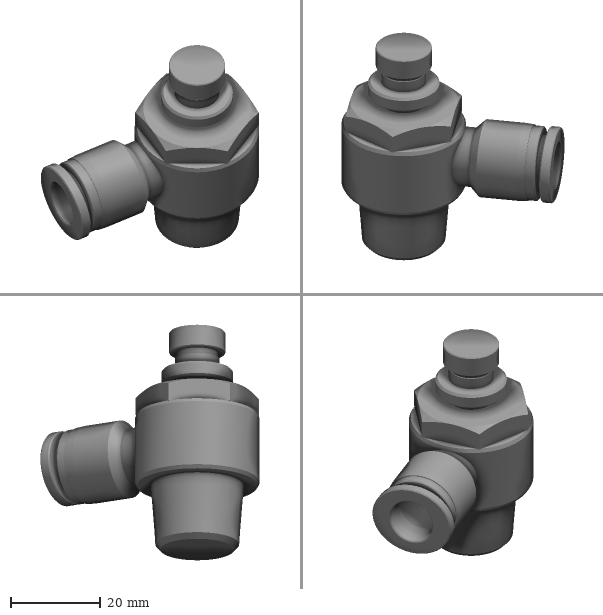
import cadquery as cq
import math

overall_height = 50.9
plug_chamfer_top = 1.2
body_bottom = 14.95
body_top = 31.4
hex_top = 36.5
collar_bottom = 38.5
collar_top = 42.0
stem_top = 44.65
cap_bottom = 46.0

plug_tip_radius = 8.3
plug_lower_radius = 9.4
plug_upper_radius = 10.5
body_radius = 14.0
body_chamfer_height = 0.8
body_chamfer_width = 0.45
stem_radius = 5.05
stem_neck_radius = 4.7
collar_radius = 8.05
collar_chamfer = 0.5
cap_radius = 6.3
cap_chamfer = 0.2

hex_across_flats = 24.0
hex_corner_radius = hex_across_flats / math.sqrt(3)
hex_corner_drop = 1.1

port_height = 23.8
port_offset = -0.15
port_neck_end = 16.05
port_cone_end = 18.15
port_barrel_end = 27.15
port_taper_end = 29.1
port_lip_end = 31.4
port_groove_end = 32.7
port_face = 35.0
port_neck_radius = 6.7
port_barrel_radius = 8.8
port_taper_radius = 8.65
port_lip_radius = 8.45
port_lip_chamfer = 0.2
port_groove_radius = 6.5

ring_half_width = 9.5
ring_half_height = 8.3
ring_chamfer = 0.25
bore_radius = 5.15
bore_chamfer = 0.25
sleeve_depth = 6.1
tube_radius = 5.3
tube_depth = 16.3


def cylinder(radius, bottom, top):
    return cq.Workplane("XY").workplane(offset=bottom).circle(radius).extrude(top - bottom)


def chamfered_disc(radius, bottom, top, chamfer):
    return cylinder(radius, bottom, top).edges().chamfer(chamfer)


def make_plug():
    """Tapered plug with a chamfered tip."""
    return (
        cq.Workplane("XZ")
        .moveTo(0, 0)
        .lineTo(plug_tip_radius, 0)
        .lineTo(plug_lower_radius, plug_chamfer_top)
        .lineTo(plug_upper_radius, body_bottom)
        .lineTo(0, body_bottom)
        .close()
        .revolve(360, (0, 0), (0, 1))
    )


def make_body():
    """Round body with steep chamfers at both rims."""
    rim_radius = body_radius - body_chamfer_width
    return (
        cq.Workplane("XZ")
        .moveTo(0, body_bottom)
        .lineTo(rim_radius, body_bottom)
        .lineTo(body_radius, body_bottom + body_chamfer_height)
        .lineTo(body_radius, body_top - body_chamfer_height)
        .lineTo(rim_radius, body_top)
        .lineTo(0, body_top)
        .close()
        .revolve(360, (0, 0), (0, 1))
    )


def make_hex():
    """Hexagon with its top corners turned off by a cone tangent to the flats."""
    prism = (
        cq.Workplane("XY")
        .workplane(offset=body_top)
        .polygon(6, 2 * hex_corner_radius)
        .extrude(hex_top - body_top)
    )
    turned_envelope = (
        cq.Workplane("XZ")
        .moveTo(0, body_top)
        .lineTo(hex_corner_radius, body_top)
        .lineTo(hex_corner_radius, hex_top - hex_corner_drop)
        .lineTo(hex_across_flats / 2, hex_top)
        .lineTo(0, hex_top)
        .close()
        .revolve(360, (0, 0), (0, 1))
    )
    return prism.intersect(turned_envelope)


def make_stem():
    """Adjusting stem with its lock collar and cap."""
    stem = cylinder(stem_radius, hex_top, stem_top)
    neck = cylinder(stem_neck_radius, stem_top, cap_bottom)
    collar = chamfered_disc(collar_radius, collar_bottom, collar_top, collar_chamfer)
    cap = chamfered_disc(cap_radius, cap_bottom, overall_height, cap_chamfer)
    return stem.union(neck).union(collar).union(cap)


def make_port():
    """Turned side port, starting inside the body."""
    return (
        cq.Workplane("XY")
        .moveTo(0, 0)
        .lineTo(port_neck_radius, 0)
        .lineTo(port_neck_radius, -port_neck_end)
        .lineTo(port_barrel_radius, -port_cone_end)
        .lineTo(port_barrel_radius, -port_barrel_end)
        .lineTo(port_taper_radius, -port_taper_end)
        .lineTo(port_lip_radius, -port_taper_end)
        .lineTo(port_lip_radius, -port_lip_end + port_lip_chamfer)
        .lineTo(port_lip_radius - port_lip_chamfer, -port_lip_end)
        .lineTo(port_groove_radius, -port_lip_end)
        .lineTo(port_groove_radius, -port_groove_end)
        .lineTo(0, -port_groove_end)
        .close()
        .revolve(360, (0, 0), (0, 1))
        .translate((port_offset, 0, port_height))
    )


def make_release_ring():
    return (
        cq.Workplane("XZ", origin=(port_offset, -port_groove_end, port_height))
        .ellipse(ring_half_width, ring_half_height)
        .extrude(port_face - port_groove_end)
        .edges()
        .chamfer(ring_chamfer)
    )


def make_bore():
    """Blind bore with a chamfered mouth, widening behind the ring's sleeve."""
    sleeve_end = sleeve_depth - port_face
    floor = tube_depth - port_face
    return (
        cq.Workplane("XY")
        .moveTo(0, -port_face)
        .lineTo(bore_radius + bore_chamfer, -port_face)
        .lineTo(bore_radius, bore_chamfer - port_face)
        .lineTo(bore_radius, sleeve_end)
        .lineTo(tube_radius, sleeve_end)
        .lineTo(tube_radius, floor)
        .lineTo(0, floor)
        .close()
        .revolve(360, (0, 0), (0, 1))
        .translate((port_offset, 0, port_height))
    )


result = (
    make_body()
    .union(make_plug())
    .union(make_hex())
    .union(make_stem())
    .union(make_port())
    .union(make_release_ring())
    .cut(make_bore())
)